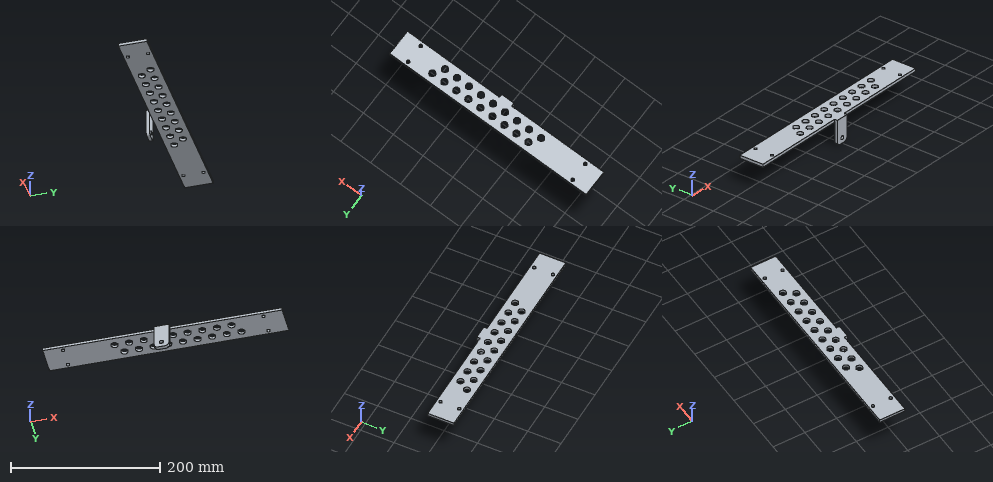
import cadquery as cq

length = 330.0
overall_depth = 45.0
overall_height = 40.0
thickness = 5.0
plate_depth = overall_depth - thickness

mount_diameter = 4.3
mount_spacing_x = 276.0
mount_spacing_y = 28.0

row_hole_diameter = 9.2
row_hole_count = 9
row_pitch = 20.0
row_spacing_y = 15.0
rows_center_x = 16.8
row_stagger = row_pitch / 2

tab_width = 20.8
tab_corner_radius = 6.0
tab_hole_diameter = 5.5
tab_hole_height = 8.5


def make_plate():
    """Flat plate with its top face at Z = 0, centred on X and Y."""
    return (
        cq.Workplane("XY")
        .box(length, plate_depth, thickness, centered=(True, True, False))
        .translate((0, 0, -thickness))
    )


def make_tab():
    """Upright tab with rounded lower corners and a cross hole, in front of the plate."""
    tab = (
        cq.Workplane("XY")
        .box(tab_width, thickness, overall_height, centered=(True, False, False))
        .translate((0, -plate_depth / 2 - thickness, -overall_height))
        .faces("<Z").edges("|Y")
        .fillet(tab_corner_radius)
    )
    hole = (
        cq.Workplane("XZ", origin=(0, -plate_depth / 2, tab_hole_height - overall_height))
        .circle(tab_hole_diameter / 2)
        .extrude(thickness)
    )
    return tab.cut(hole)


def hole_cutters(centers, diameter):
    """Cylinders through the plate thickness at the given centres."""
    return (
        cq.Workplane("XY", origin=(0, 0, -thickness))
        .pushPoints(centers)
        .circle(diameter / 2)
        .extrude(thickness)
    )


mount_centers = [
    (side_x * mount_spacing_x / 2, side_y * mount_spacing_y / 2)
    for side_x in (-1, 1)
    for side_y in (-1, 1)
]

row_centers = [
    (
        rows_center_x + side * row_stagger / 2 + (i - (row_hole_count - 1) / 2) * row_pitch,
        side * row_spacing_y / 2,
    )
    for side in (-1, 1)
    for i in range(row_hole_count)
]

plate = make_plate()
plate = plate.cut(hole_cutters(mount_centers, mount_diameter))
plate = plate.cut(hole_cutters(row_centers, row_hole_diameter))

result = plate.union(make_tab())